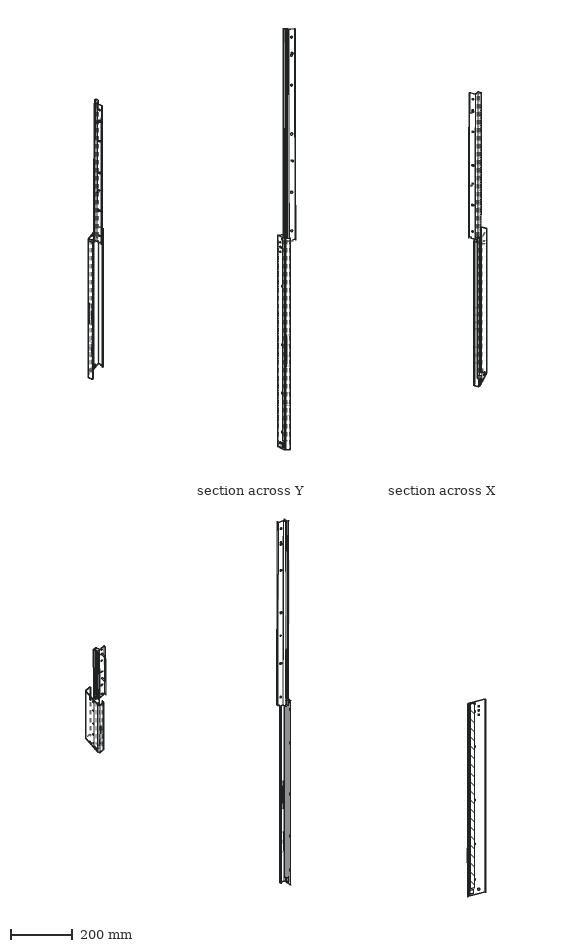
import cadquery as cq

OVERALL_X = 44.4
OVERALL_Y = 70.8
OVERALL_Z = 1385.01
SHEET = 2.0

CABINET_DEPTH = 21.0
CABINET_BOTTOM = 3.0
CABINET_TOP = 700.0
UPPER_LIP = 6.0
LOWER_LIP = 9.0
OUTER_BEND = 2.7
BEVEL_X = 4.0
BEVEL_Y = 8.3
TAB_START_X = 10.0
SCREW_HOLE = 5.5
SCREW_ROW_Y = 30.5
SCREW_ROW_Z = (57.5, 186.0, 345.0, 538.0, 665.0, 693.0)
CLUSTER_ROW_Y = 46.0
CLUSTER_ROW_Z = (649.0, 665.0, 680.0)
END_HOLE = 8.0
END_HOLE_Z = 19.0
END_SLOT_Y = (13.0, 26.0)
END_SLOT_Z = (9.0, 23.0)

BUMP_HEIGHT = 1.5
LONG_BUMP_X = (7.5, CABINET_DEPTH - SHEET)
LONG_BUMP_Z = (279.0, 382.0)
LONG_BUMP_FLAT = 36.0
SHORT_BUMP_X = (BEVEL_X, CABINET_DEPTH - SHEET)
SHORT_BUMP_Z = (116.0, 190.5)
SHORT_BUMP_FLAT = 8.0

MIDDLE_WIDTH = 12.0
MIDDLE_Y = (11.0, 28.0)
MIDDLE_Z = (30.0, 699.0)
MIDDLE_CHAMFER = 4.5

DRAWER_SHEET = 1.2
HALF_SHEET = DRAWER_SHEET / 2
DRAWER_BOTTOM = 686.0
DRAWER_DRIFT = 2.6
DRAWER_LENGTH = OVERALL_Z - DRAWER_BOTTOM
HOOK_X = 8.0
HOOK_TIP_Y = 33.5
HOOK_CURL_X = 13.0
SHELF_Y = 37.45
SHELF_END_X = 20.0
RISER_FOOT_X = 24.0
FLANGE_Y = 24.0
INNER_WALL_X = 15.5
INNER_WALL_TIPS_Y = (17.8, 28.0)
OUTER_LIP_TIP_Y = 17.0
OUTER_LIP_LEAN = 0.1
CORNER_RELIEF_X = 7.0
CORNER_RELIEF_Z = 5.0
DRAWER_HOLE_X = 32.6
SMALL_HOLE = 6.0
SMALL_HOLE_Z = (720.0, 1200.0, 1358.0)
LARGE_HOLE = 7.5
LARGE_HOLE_Z = (847.0, 1039.0)
LOCATING_HOLE = 7.0
LOCATING_HOLE_Z = 1299.0
PIN_DIAMETER = 4.5
PIN_TIP_Y = 12.3
PIN_Z = (952.0, 1306.5)


def block(x_range, y_range, z_range):
    """Box between the given limits."""
    return (
        cq.Workplane("XY")
        .box(x_range[1] - x_range[0], y_range[1] - y_range[0], z_range[1] - z_range[0], centered=False)
        .translate((x_range[0], y_range[0], z_range[0]))
    )


def round_along_x(y, z, diameter, length):
    """Cylinder along X starting at X = 0."""
    return cq.Workplane("YZ").center(y, z).circle(diameter / 2).extrude(length)


def round_along_y(x, z, diameter, y_start, y_end):
    """Cylinder along Y between two Y positions."""
    return (
        cq.Workplane("XZ", origin=(0, y_start, 0))
        .center(x, z)
        .circle(diameter / 2)
        .extrude(y_start - y_end)
    )


def bump(base_y, x_range, z_range, flat):
    """Tapered pad rising toward -Y from base_y: a ramp, a flat crown and a second ramp."""
    middle_z = sum(z_range) / 2
    crown_y = base_y - BUMP_HEIGHT
    return (
        cq.Workplane("YZ", origin=(x_range[0], 0, 0))
        .moveTo(base_y, z_range[0])
        .lineTo(crown_y, middle_z - flat / 2)
        .lineTo(crown_y, middle_z + flat / 2)
        .lineTo(base_y, z_range[1])
        .close()
        .extrude(x_range[1] - x_range[0])
    )


def make_cabinet_rail():
    inner_lip_x = CABINET_DEPTH - SHEET
    outside_y = BUMP_HEIGHT
    inside_y = outside_y + SHEET
    upper_inside = OVERALL_Y - SHEET
    rail = (
        cq.Workplane("XY", origin=(0, 0, CABINET_BOTTOM))
        .moveTo(CABINET_DEPTH, OVERALL_Y)
        .lineTo(0, OVERALL_Y)
        .lineTo(0, BEVEL_Y)
        .lineTo(BEVEL_X, outside_y)
        .lineTo(CABINET_DEPTH, outside_y)
        .lineTo(CABINET_DEPTH, LOWER_LIP)
        .lineTo(inner_lip_x, LOWER_LIP)
        .lineTo(inner_lip_x, inside_y)
        .lineTo(BEVEL_X + SHEET / 2, inside_y)
        .lineTo(SHEET, BEVEL_Y)
        .lineTo(SHEET, upper_inside)
        .lineTo(inner_lip_x, upper_inside)
        .lineTo(inner_lip_x, OVERALL_Y - UPPER_LIP)
        .lineTo(CABINET_DEPTH, OVERALL_Y - UPPER_LIP)
        .close()
        .extrude(CABINET_TOP - CABINET_BOTTOM)
    )
    rail = rail.edges("|Z and <X and >Y").fillet(OUTER_BEND)

    tab_z = (0, CABINET_BOTTOM)
    rail = rail.union(block((TAB_START_X, CABINET_DEPTH), (upper_inside, OVERALL_Y), tab_z))
    rail = rail.union(block((inner_lip_x, CABINET_DEPTH), (OVERALL_Y - UPPER_LIP, OVERALL_Y), tab_z))

    for z in SCREW_ROW_Z:
        rail = rail.cut(round_along_x(SCREW_ROW_Y, z, SCREW_HOLE, SHEET))
    for z in CLUSTER_ROW_Z:
        rail = rail.cut(round_along_x(CLUSTER_ROW_Y, z, SCREW_HOLE, SHEET))
    rail = rail.cut(round_along_x(CLUSTER_ROW_Y, END_HOLE_Z, END_HOLE, SHEET))
    rail = rail.cut(block((0, SHEET), END_SLOT_Y, END_SLOT_Z))

    bumps = [
        (LONG_BUMP_X, LONG_BUMP_Z, LONG_BUMP_FLAT),
        (SHORT_BUMP_X, SHORT_BUMP_Z, SHORT_BUMP_FLAT),
    ]
    for x_range, z_range, flat in bumps:
        rail = rail.union(bump(outside_y, x_range, z_range, flat))
        rail = rail.cut(bump(inside_y, x_range, z_range, flat))
    return rail


def make_middle_rail():
    bar = block((SHEET, SHEET + MIDDLE_WIDTH), MIDDLE_Y, MIDDLE_Z)
    return bar.edges("|Z and >X").chamfer(MIDDLE_CHAMFER)


def drift(z):
    """Sideways shift of the drawer rail section at height z."""
    return DRAWER_DRIFT * (z - DRAWER_BOTTOM) / DRAWER_LENGTH


def drawer_strip(points):
    """Bent sheet strip with the given centre line, extruded along the leaning rail."""
    outline = (
        cq.Workplane("XY", origin=(0, 0, DRAWER_BOTTOM))
        .polyline(points)
        .offset2D(HALF_SHEET)
        .val()
    )
    direction = cq.Vector(0, DRAWER_DRIFT, DRAWER_LENGTH)
    return cq.Workplane(obj=cq.Solid.extrudeLinear(outline, [], direction))


def make_drawer_rail():
    outer_lip_x = OVERALL_X - HALF_SHEET
    rail = drawer_strip([
        (HOOK_CURL_X, HOOK_TIP_Y),
        (HOOK_X + HALF_SHEET, HOOK_TIP_Y),
        (HOOK_X + HALF_SHEET, SHELF_Y),
        (SHELF_END_X, SHELF_Y),
        (RISER_FOOT_X, FLANGE_Y),
        (outer_lip_x, FLANGE_Y),
        (outer_lip_x - OUTER_LIP_LEAN, OUTER_LIP_TIP_Y + HALF_SHEET),
    ])
    for tip_y in INNER_WALL_TIPS_Y:
        inner_wall = drawer_strip([
            (RISER_FOOT_X, FLANGE_Y),
            (INNER_WALL_X, FLANGE_Y),
            (INNER_WALL_X, tip_y),
        ])
        rail = rail.union(inner_wall)

    for z in PIN_Z:
        rail = rail.union(
            round_along_y(DRAWER_HOLE_X, z, PIN_DIAMETER, PIN_TIP_Y, FLANGE_Y + drift(z))
        )

    holes = [(z, SMALL_HOLE) for z in SMALL_HOLE_Z]
    holes += [(z, LARGE_HOLE) for z in LARGE_HOLE_Z]
    holes.append((LOCATING_HOLE_Z, LOCATING_HOLE))
    for z, diameter in holes:
        rail = rail.cut(round_along_y(DRAWER_HOLE_X, z, diameter, 0, OVERALL_Y))

    relief_z = (DRAWER_BOTTOM, DRAWER_BOTTOM + CORNER_RELIEF_Z)
    return rail.cut(block((OVERALL_X - CORNER_RELIEF_X, OVERALL_X), (0, OVERALL_Y), relief_z))


cabinet_rail = make_cabinet_rail()
middle_rail = make_middle_rail()
drawer_rail = make_drawer_rail()

result = cq.Compound.makeCompound([cabinet_rail.val(), middle_rail.val(), drawer_rail.val()])